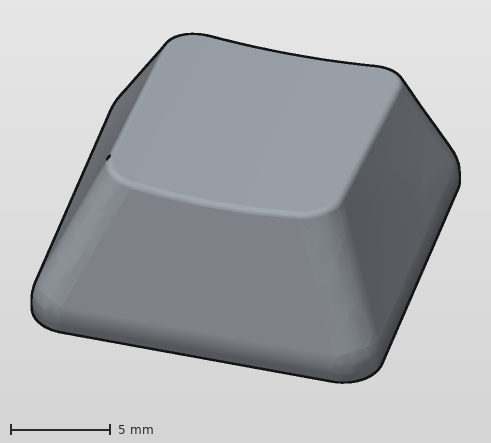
import cadquery as cq
import math

base_size = 18.16
corner_radius = 2.02
skirt_height = 1.0

top_width = 11.95
top_front_y = -5.41
top_back_y = 8.72
top_tilt = 7.25
top_height = 7.2

dish_radius = 39.95
dish_depth = 0.62
rim_radius = 0.36

top_center_y = (top_front_y + top_back_y) / 2
top_length = (top_back_y - top_front_y) / math.cos(math.radians(top_tilt))
top_center_z = top_height - top_center_y * math.tan(math.radians(top_tilt))


def sloping_plane():
    """Plane of the top outline, with its local Y running down to the back."""
    plane = cq.Plane(origin=(0, top_center_y, top_center_z))
    return plane.rotated((-top_tilt, 0, 0))


def make_body():
    """Square skirt below a sharp-edged block that leans in to the top outline."""
    base = cq.Sketch().rect(base_size, base_size)
    top = cq.Sketch().rect(top_width, top_length)
    skirt = cq.Workplane("XY").placeSketch(base).extrude(skirt_height)
    upper = (
        cq.Workplane("XY")
        .placeSketch(
            base.moved(cq.Location(cq.Vector(0, 0, skirt_height))),
            top.moved(cq.Location(sloping_plane())),
        )
        .loft(ruled=True)
    )
    return skirt.union(upper)


def make_dish():
    """Cylinder that hollows the top by the dish depth along its middle."""
    axis_height = dish_radius - dish_depth
    return (
        cq.Workplane(sloping_plane())
        .transformed(rotate=(90, 0, 0))
        .center(0, axis_height)
        .circle(dish_radius)
        .extrude(base_size, both=True)
    )


def round_sides(body):
    """Round the corner edges and the shoulder together so that they blend."""
    side_edges = cq.selectors.BoxSelector(
        (-base_size, -base_size, skirt_height / 4),
        (base_size, base_size, top_height * 3 / 4),
    )
    return body.edges(side_edges).fillet(corner_radius)


def round_rim(body):
    dish_face = body.faces("%CYLINDER").faces(">Z")
    return dish_face.edges().fillet(rim_radius)


result = round_rim(round_sides(make_body()).cut(make_dish()))